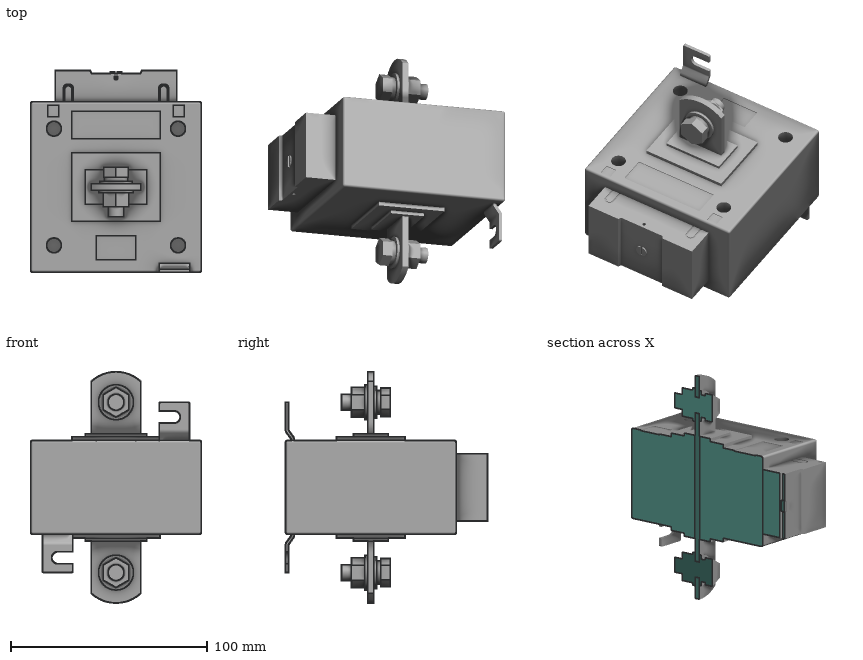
import cadquery as cq
import math


HOUSING_SIDE = 87.0
HOUSING_HEIGHT = 47.9
EDGE_RADIUS = 1.2
BOSS_X, BOSS_Y, BOSS_HEIGHT = 44.9, 35.0, 1.9
COLLAR_X, COLLAR_Y, COLLAR_HEIGHT = 31.5, 17.8, 1.5
CORNER_HOLE_DIAMETER = 7.5
CORNER_HOLE_DEPTH = 9.4
CORNER_HOLE_X = 31.6
CORNER_HOLE_Y = 29.7
LABEL_DEPTH = 0.4
NAMEPLATE_LENGTH, NAMEPLATE_WIDTH, NAMEPLATE_Y = 44.9, 13.9, 31.6
PHASE_LABEL_LENGTH, PHASE_LABEL_WIDTH, PHASE_LABEL_Y = 20.0, 12.1, -31.0
TERMINAL_LABEL_SIDE, TERMINAL_LABEL_X, TERMINAL_LABEL_Y = 5.8, 32.0, 38.8

HALF_SIDE = HOUSING_SIDE / 2
HALF_HEIGHT = HOUSING_HEIGHT / 2
COLLAR_TOP = HALF_HEIGHT + BOSS_HEIGHT + COLLAR_HEIGHT

BAR_LENGTH = 117.9
BAR_WIDTH = 25.2
BAR_THICKNESS = 3.2
BAR_END_RISE = 5.0

BOLT_Z = 43.4
BOLT_DIAMETER = 8.1
HEAD_FLATS, HEAD_HEIGHT = 12.6, 5.0
SPRING_WASHER_DIAMETER, SPRING_WASHER_THICKNESS = 12.1, 2.1
SMALL_WASHER_DIAMETER, SMALL_WASHER_THICKNESS = 16.4, 1.3
LARGE_WASHER_DIAMETER, LARGE_WASHER_THICKNESS = 17.8, 1.4
NUT_FLATS, NUT_HEIGHT = 13.2, 7.0
BOLT_TIP_LENGTH = 5.1

BRACKET_THICKNESS = 1.7
BRACKET_WIDTH = 15.6
BRACKET_X = 29.7
BRACKET_TOP = 43.4
BRACKET_BEND_Z = 28.5
BRACKET_STEP_Y, BRACKET_STEP_Z = 3.0, 4.0
BRACKET_FOOT_DEPTH = 2.4
BEND_RADIUS = 1.2
BRACKET_CORNER_RADIUS = 0.8
SLOT_WIDTH = 6.0
SLOT_Z = 35.9
SLOT_END_X = 32.7

COVER_X, COVER_Y, COVER_Z = 62.1, 15.9, 34.3
NOTCH_TOP_WIDTH, NOTCH_FLOOR_WIDTH, NOTCH_DEPTH = 26.4, 24.8, 1.5
SEAL_HOLE_DIAMETER = 1.8
SEAL_HOLE_SETBACK = 3.8
GROOVE_X = 24.3
GROOVE_OUTER_WIDTH, GROOVE_WALL, GROOVE_LENGTH = 5.2, 0.8, 9.0
GROOVE_DEPTH = 0.4
COVER_END_Y = HALF_SIDE + COVER_Y
NOTCH_FLOOR_Y = COVER_END_Y - NOTCH_DEPTH

SCREW_DIAMETER = 6.0
SCREW_RISE = 0.7
SCREW_SEAT_DEPTH = 2.5
SCREW_SLOT_WIDTH, SCREW_SLOT_DEPTH = 1.3, 1.0


def centred_box(x, y, z):
    return cq.Workplane("XY").box(x, y, z)


def y_cylinder(diameter, y_start, y_end, z=0):
    """Cylinder along Y at x = 0."""
    return (cq.Workplane("XZ", origin=(0, y_start, z))
            .circle(diameter / 2).extrude(y_start - y_end))


def y_hexagon(flats, y_start, y_end, z):
    """Hexagonal prism along Y with two corners pointing along Z."""
    corner_diameter = flats / math.cos(math.pi / 6)
    return (cq.Workplane("XZ", origin=(0, y_start, z)).transformed(rotate=(0, 0, 90))
            .polygon(6, corner_diameter).extrude(y_start - y_end))


def turned_about_y(body):
    """Copy of a body turned half a turn about the Y axis."""
    return body.rotate((0, 0, 0), (0, 1, 0), 180)


def make_busbar():
    """Flat bar through the housing with rounded ends and a bolt hole near each end."""
    half_width = BAR_WIDTH / 2
    end = BAR_LENGTH / 2
    shoulder = end - BAR_END_RISE
    bar = (cq.Workplane("XZ")
           .moveTo(-half_width, -shoulder)
           .lineTo(-half_width, shoulder)
           .threePointArc((0, end), (half_width, shoulder))
           .lineTo(half_width, -shoulder)
           .threePointArc((0, -end), (-half_width, -shoulder))
           .close()
           .extrude(BAR_THICKNESS / 2, both=True))
    for z in (-BOLT_Z, BOLT_Z):
        bar = bar.cut(y_cylinder(BOLT_DIAMETER, -BAR_THICKNESS, BAR_THICKNESS, z))
    return bar


def make_bolt_set(z):
    """Bolt with its washers and nut; the head is on the +Y side of the bar."""
    bar_face = BAR_THICKNESS / 2
    small_washer_end = bar_face + SMALL_WASHER_THICKNESS
    spring_washer_end = small_washer_end + SPRING_WASHER_THICKNESS
    head_end = spring_washer_end + HEAD_HEIGHT
    large_washer_end = -bar_face - LARGE_WASHER_THICKNESS
    nut_end = large_washer_end - NUT_HEIGHT
    tip_end = nut_end - BOLT_TIP_LENGTH
    return (y_cylinder(BOLT_DIAMETER, tip_end, spring_washer_end, z)
            .union(y_cylinder(SMALL_WASHER_DIAMETER, bar_face, small_washer_end, z))
            .union(y_cylinder(SPRING_WASHER_DIAMETER, small_washer_end, spring_washer_end, z))
            .union(y_hexagon(HEAD_FLATS, spring_washer_end, head_end, z))
            .union(y_cylinder(LARGE_WASHER_DIAMETER, large_washer_end, -bar_face, z))
            .union(y_hexagon(NUT_FLATS, nut_end, large_washer_end, z)))


def make_upper_bracket():
    """Z-bent strip on top of the housing with a slot open towards -X."""
    front = -HALF_SIDE
    back = front + BRACKET_THICKNESS
    foot_front = front + BRACKET_STEP_Y
    foot_back = back + BRACKET_STEP_Y
    foot_end = HALF_HEIGHT - BRACKET_FOOT_DEPTH
    foot_bend_z = BRACKET_BEND_Z - BRACKET_STEP_Z
    bend_angle = math.atan2(BRACKET_STEP_Y, BRACKET_STEP_Z)
    miter = BRACKET_THICKNESS * math.tan(bend_angle / 2)

    strip = (cq.Workplane("YZ", origin=(BRACKET_X - BRACKET_WIDTH / 2, 0, 0))
             .polyline([(front, BRACKET_TOP),
                        (front, BRACKET_BEND_Z),
                        (foot_front, foot_bend_z),
                        (foot_front, foot_end),
                        (foot_back, foot_end),
                        (foot_back, foot_bend_z + miter),
                        (back, BRACKET_BEND_Z + miter),
                        (back, BRACKET_TOP)])
             .close().extrude(BRACKET_WIDTH))

    def bend_edge(y, z):
        return cq.selectors.NearestToPointSelector((BRACKET_X, y, z))

    outside_radius = BEND_RADIUS + BRACKET_THICKNESS
    strip = strip.edges(bend_edge(front, BRACKET_BEND_Z)).fillet(outside_radius)
    strip = strip.edges(bend_edge(back, BRACKET_BEND_Z + miter)).fillet(BEND_RADIUS)
    strip = strip.edges(bend_edge(foot_front, foot_bend_z)).fillet(BEND_RADIUS)
    strip = strip.edges(bend_edge(foot_back, foot_bend_z + miter)).fillet(outside_radius)
    strip = strip.faces(">Z").edges("|Y").fillet(BRACKET_CORNER_RADIUS)

    slot_length = BRACKET_WIDTH + SLOT_WIDTH
    slot = (cq.Workplane("XZ", origin=(SLOT_END_X - slot_length / 2, front, SLOT_Z))
            .slot2D(slot_length, SLOT_WIDTH).extrude(BRACKET_THICKNESS, both=True))
    return strip.cut(slot)


def label_recesses():
    """Shallow rectangular label fields in the top face."""
    labels = [(0, NAMEPLATE_Y, NAMEPLATE_LENGTH, NAMEPLATE_WIDTH),
              (0, PHASE_LABEL_Y, PHASE_LABEL_LENGTH, PHASE_LABEL_WIDTH)]
    for x in (-TERMINAL_LABEL_X, TERMINAL_LABEL_X):
        labels.append((x, TERMINAL_LABEL_Y, TERMINAL_LABEL_SIDE, TERMINAL_LABEL_SIDE))
    recesses = cq.Workplane("XY")
    for x, y, length, width in labels:
        recess = (cq.Workplane("XY", origin=(x, y, HALF_HEIGHT))
                  .rect(length, width).extrude(-LABEL_DEPTH))
        recesses = recesses.add(recess)
    return recesses.combine()


def make_housing(inserted_bodies):
    """Filleted block with stepped bosses, cut to fit the bodies that pass into it."""
    block = centred_box(HOUSING_SIDE, HOUSING_SIDE, HOUSING_HEIGHT).edges().fillet(EDGE_RADIUS)
    bosses = centred_box(BOSS_X, BOSS_Y, HOUSING_HEIGHT + 2 * BOSS_HEIGHT)
    collars = centred_box(COLLAR_X, COLLAR_Y, 2 * COLLAR_TOP)
    corner_holes = (cq.Workplane("XY", origin=(0, 0, HALF_HEIGHT))
                    .rect(2 * CORNER_HOLE_X, 2 * CORNER_HOLE_Y, forConstruction=True).vertices()
                    .circle(CORNER_HOLE_DIAMETER / 2).extrude(-CORNER_HOLE_DEPTH))
    housing = block.union(bosses).union(collars).cut(corner_holes).cut(label_recesses())
    for body in inserted_bodies:
        housing = housing.cut(body)
    return housing


def arch(x, width, length):
    """Round-ended strip running along +Y from the housing, sunk in the top of the cover."""
    radius = width / 2
    straight_end = HALF_SIDE + length - radius
    return (cq.Workplane("XY", origin=(0, 0, COVER_Z / 2))
            .moveTo(x - radius, HALF_SIDE)
            .lineTo(x - radius, straight_end)
            .threePointArc((x, straight_end + radius), (x + radius, straight_end))
            .lineTo(x + radius, HALF_SIDE)
            .close().extrude(-GROOVE_DEPTH))


def make_terminal_cover():
    """Block behind the housing with an end notch, a seal wire hole and two arched grooves."""
    cover = centred_box(COVER_X, COVER_Y, COVER_Z).translate((0, HALF_SIDE + COVER_Y / 2, 0))
    notch = (cq.Workplane("XY")
             .polyline([(-NOTCH_TOP_WIDTH / 2, COVER_END_Y),
                        (-NOTCH_FLOOR_WIDTH / 2, NOTCH_FLOOR_Y),
                        (NOTCH_FLOOR_WIDTH / 2, NOTCH_FLOOR_Y),
                        (NOTCH_TOP_WIDTH / 2, COVER_END_Y)])
             .close().extrude(COVER_Z, both=True))
    seal_hole = (cq.Workplane("XY", origin=(0, COVER_END_Y - SEAL_HOLE_SETBACK, 0))
                 .circle(SEAL_HOLE_DIAMETER / 2).extrude(COVER_Z, both=True))
    screw_seat = y_cylinder(SCREW_DIAMETER, NOTCH_FLOOR_Y - SCREW_SEAT_DEPTH, NOTCH_FLOOR_Y)
    cover = cover.cut(notch).cut(seal_hole).cut(screw_seat)
    for x in (-GROOVE_X, GROOVE_X):
        outer = arch(x, GROOVE_OUTER_WIDTH, GROOVE_LENGTH)
        inner = arch(x, GROOVE_OUTER_WIDTH - 2 * GROOVE_WALL, GROOVE_LENGTH - GROOVE_WALL)
        cover = cover.cut(outer.cut(inner))
    return cover


def make_cover_screw():
    """Slotted cylindrical screw head sunk in the floor of the cover notch."""
    head_top = NOTCH_FLOOR_Y + SCREW_RISE
    head = y_cylinder(SCREW_DIAMETER, NOTCH_FLOOR_Y - SCREW_SEAT_DEPTH, head_top)
    slot = (centred_box(SCREW_SLOT_WIDTH, SCREW_SLOT_DEPTH, SCREW_DIAMETER)
            .translate((0, head_top - SCREW_SLOT_DEPTH / 2, 0)))
    return head.cut(slot)


busbar = make_busbar()
bolt_sets = [make_bolt_set(z) for z in (-BOLT_Z, BOLT_Z)]
upper_bracket = make_upper_bracket()
lower_bracket = turned_about_y(upper_bracket)
housing = make_housing([busbar, upper_bracket, lower_bracket])
terminal_cover = make_terminal_cover()
cover_screw = make_cover_screw()

result = cq.Compound.makeCompound([
    housing.val(),
    busbar.val(),
    *[bolt_set.val() for bolt_set in bolt_sets],
    upper_bracket.val(),
    lower_bracket.val(),
    terminal_cover.val(),
    cover_screw.val(),
])